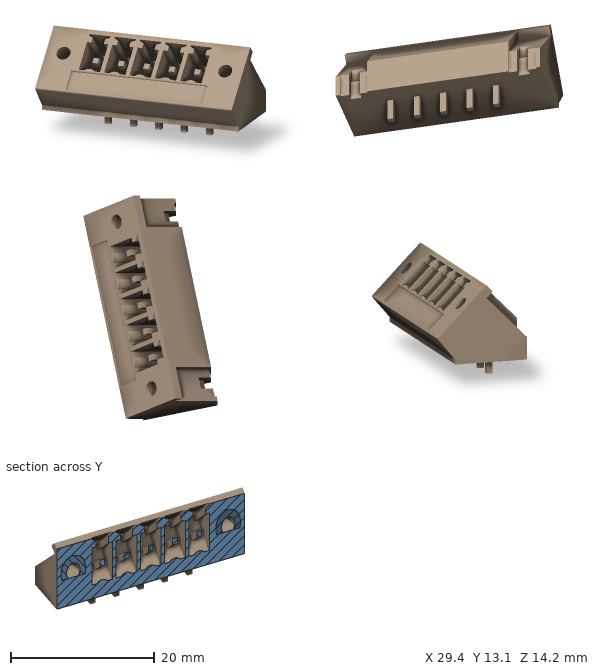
import cadquery as cq
import math


HOUSING_LENGTH = 29.45
HOUSING_DEPTH = 13.1
HOUSING_HEIGHT = 11.0
APEX_Y = -5.98
FOOT_Y = -10.55
UNDERSIDE_ANGLE = 49.7
LIP_RADIUS = 0.2

CENTRE_BLOCK_LENGTH = 20.37
FLANGE_THICKNESS = 1.32
CORNER_STEP = 1.3
EAR_WIDTH = 0.65
CORNER_SETBACK = 0.3
SLOT_WIDTH = 1.55
SLOT_DEPTH = 1.35
SLOT_LEDGE_DEPTH = 2.0
SLOT_LEDGE_DROP = 1.2

WINDOW_TOP = 6.57
WINDOW_LENGTH = CENTRE_BLOCK_LENGTH

POLE_COUNT = 5
POLE_PITCH = 3.8
CAVITY_WIDTH = 3.18
CAVITY_DEPTH = 6.0
KEYWAY_TOP = 0.7
KEYWAY_SHOULDER = 0.95
KEYWAY_NECK = 1.25
KEYWAY_NECK_WIDTH = 1.85
CAVITY_TOP = 2.0
CAVITY_BOTTOM = 6.48
RIB_RADIUS = 1.15
RIB_WIDTH = 1.6

CONTACT_AXIS = 4.15
PIN_SIZE = 0.82
PIN_TIP_RECESS = 1.18
PIN_TAIL_Y = -3.3
PIN_TAIL_LENGTH = 3.18
BUSH_SPACING = 24.23
BUSH_DIAMETER = 3.77
BORE_DIAMETER = 2.03
BUSH_LENGTH = 4.0

ROOT2 = math.sqrt(2)
BACK_TOP = HOUSING_HEIGHT + APEX_Y
CORNER_TOP = BACK_TOP - CORNER_STEP * ROOT2
NOSE_CENTRE_Y = -HOUSING_DEPTH + LIP_RADIUS
NOSE_CENTRE_Z = HOUSING_HEIGHT - APEX_Y - LIP_RADIUS * ROOT2 + NOSE_CENTRE_Y
NOSE_DISTANCE = (APEX_Y - NOSE_CENTRE_Y + HOUSING_HEIGHT - NOSE_CENTRE_Z) / ROOT2

pole_positions = [(i - (POLE_COUNT - 1) / 2) * POLE_PITCH for i in range(POLE_COUNT)]
bush_positions = [-BUSH_SPACING / 2, BUSH_SPACING / 2]

MATING_FACE = cq.Plane(origin=(0, APEX_Y, HOUSING_HEIGHT), xDir=(1, 0, 0), normal=(0, -1, 1))


def face_point(down, inward):
    """(Y, Z) of a point a distance down the mating face and a distance behind it."""
    return (APEX_Y + (inward - down) / ROOT2, HOUSING_HEIGHT - (inward + down) / ROOT2)


def nose_point(angle):
    """(Y, Z) on the nose rounding; the angle is measured downwards from straight ahead."""
    turn = math.radians(angle)
    return (
        NOSE_CENTRE_Y - LIP_RADIUS * math.cos(turn),
        NOSE_CENTRE_Z - LIP_RADIUS * math.sin(turn),
    )


def extrude_along_x(section, length, centre=0.0):
    """Extrude a section drawn in (Y, Z) symmetrically about the plane X = centre."""
    return section.extrude(length / 2, both=True).translate((centre, 0, 0))


def make_housing_blank():
    underside_start = nose_point(90 - UNDERSIDE_ANGLE)
    underside_run = FOOT_Y - underside_start[0]
    foot_top = underside_start[1] - underside_run * math.tan(math.radians(UNDERSIDE_ANGLE))
    section = (
        cq.Workplane("YZ")
        .moveTo(0, 0)
        .lineTo(0, BACK_TOP)
        .lineTo(APEX_Y, HOUSING_HEIGHT)
        .lineTo(*nose_point(-45))
        .threePointArc(nose_point(0), underside_start)
        .lineTo(FOOT_Y, foot_top)
        .lineTo(FOOT_Y, 0)
        .close()
    )
    return extrude_along_x(section, HOUSING_LENGTH)


def make_corner_step(side):
    """Wedge removed above a mounting corner, behind the flange."""
    section = cq.Workplane("YZ").polyline([
        (0, BACK_TOP),
        (0, CORNER_TOP),
        face_point(CORNER_STEP, FLANGE_THICKNESS),
        face_point(0, FLANGE_THICKNESS),
    ]).close()
    length = (HOUSING_LENGTH - CENTRE_BLOCK_LENGTH) / 2
    return extrude_along_x(section, length, side * (HOUSING_LENGTH - length) / 2)


def make_corner_setback(side):
    """Full-height slice off the back, from the centre block to the ear."""
    inner = CENTRE_BLOCK_LENGTH / 2
    outer = HOUSING_LENGTH / 2 - EAR_WIDTH
    slice_box = cq.Workplane("XY").box(
        outer - inner, CORNER_SETBACK, BACK_TOP + CORNER_SETBACK, centered=(True, False, False)
    )
    return slice_box.translate((side * (inner + outer) / 2, -CORNER_SETBACK, 0))


def make_corner_slot(bush_x):
    """Vertical slot with a 45 degree ledge at its front end, in line with a bush."""
    ledge_bottom = CORNER_TOP - SLOT_LEDGE_DROP * ROOT2 + SLOT_DEPTH
    ledge_top = ledge_bottom + SLOT_LEDGE_DEPTH - SLOT_DEPTH
    section = cq.Workplane("YZ").polyline([
        (0, 0),
        (-SLOT_DEPTH, 0),
        (-SLOT_DEPTH, ledge_bottom),
        (-SLOT_LEDGE_DEPTH, ledge_top),
        (-SLOT_LEDGE_DEPTH, HOUSING_HEIGHT),
        (0, HOUSING_HEIGHT),
    ]).close()
    return extrude_along_x(section, SLOT_WIDTH, bush_x)


def make_window():
    """Shallow window with rounded rims; its lower rim runs into the nose rounding."""
    rim_offset = LIP_RADIUS / ROOT2
    section = (
        cq.Workplane("YZ")
        .moveTo(*face_point(WINDOW_TOP, 0))
        .threePointArc(
            face_point(WINDOW_TOP + rim_offset, LIP_RADIUS - rim_offset),
            face_point(WINDOW_TOP + LIP_RADIUS, LIP_RADIUS),
        )
        .lineTo(*face_point(NOSE_DISTANCE - LIP_RADIUS, LIP_RADIUS))
        .threePointArc(
            face_point(NOSE_DISTANCE - rim_offset, LIP_RADIUS - rim_offset),
            face_point(NOSE_DISTANCE, 0),
        )
        .close()
    )
    return extrude_along_x(section, WINDOW_LENGTH)


def make_cavity(pole_x):
    """Contact cavity with a flared keyway above and a round rib left along its floor."""
    wall = CAVITY_WIDTH / 2
    neck = KEYWAY_NECK_WIDTH / 2
    rib = RIB_WIDTH / 2
    rib_height = RIB_RADIUS - math.sqrt(RIB_RADIUS**2 - rib**2)
    return (
        cq.Workplane(MATING_FACE)
        .center(pole_x, 0)
        .moveTo(-rib, -CAVITY_BOTTOM)
        .lineTo(-wall, -CAVITY_BOTTOM)
        .lineTo(-wall, -CAVITY_TOP)
        .lineTo(-neck, -CAVITY_TOP)
        .lineTo(-neck, -KEYWAY_NECK)
        .lineTo(-wall, -KEYWAY_SHOULDER)
        .lineTo(-wall, -KEYWAY_TOP)
        .lineTo(wall, -KEYWAY_TOP)
        .lineTo(wall, -KEYWAY_SHOULDER)
        .lineTo(neck, -KEYWAY_NECK)
        .lineTo(neck, -CAVITY_TOP)
        .lineTo(wall, -CAVITY_TOP)
        .lineTo(wall, -CAVITY_BOTTOM)
        .lineTo(rib, -CAVITY_BOTTOM)
        .threePointArc((0, -CAVITY_BOTTOM + rib_height), (-rib, -CAVITY_BOTTOM))
        .close()
        .extrude(-CAVITY_DEPTH)
    )


def make_bush_plug(bush_x):
    """Solid cylinder filling a bush seat, flush with the mating face."""
    seat = cq.Workplane(MATING_FACE).center(bush_x, -CONTACT_AXIS)
    return seat.circle(BUSH_DIAMETER / 2).extrude(-BUSH_LENGTH)


def make_bush(bush_x):
    bore = cq.Workplane(MATING_FACE).center(bush_x, -CONTACT_AXIS)
    return make_bush_plug(bush_x).cut(bore.circle(BORE_DIAMETER / 2).extrude(-BUSH_LENGTH))


def make_pin(pole_x):
    """Square pin: square to the mating face inside, bent to a vertical tail."""
    def bend_point(down, y):
        inward = (y - APEX_Y) * ROOT2 + down
        return face_point(down, inward)

    half = PIN_SIZE / 2
    upper = CONTACT_AXIS - half
    lower = CONTACT_AXIS + half
    section = cq.Workplane("YZ").polyline([
        face_point(upper, PIN_TIP_RECESS),
        bend_point(upper, PIN_TAIL_Y + half),
        (PIN_TAIL_Y + half, -PIN_TAIL_LENGTH),
        (PIN_TAIL_Y - half, -PIN_TAIL_LENGTH),
        bend_point(lower, PIN_TAIL_Y - half),
        face_point(lower, PIN_TIP_RECESS),
    ]).close()
    return extrude_along_x(section, PIN_SIZE, pole_x)


pins = [make_pin(x) for x in pole_positions]
bushes = [make_bush(x) for x in bush_positions]

housing = make_housing_blank().cut(make_window())
for side in (-1, 1):
    housing = housing.cut(make_corner_step(side)).cut(make_corner_setback(side))
for bush_x in bush_positions:
    housing = housing.cut(make_corner_slot(bush_x)).cut(make_bush_plug(bush_x))
for pole_x, pin in zip(pole_positions, pins):
    housing = housing.cut(make_cavity(pole_x)).cut(pin)

result = cq.Compound.makeCompound([
    housing.solids().val(),
    *[bush.solids().val() for bush in bushes],
    *[pin.solids().val() for pin in pins],
])